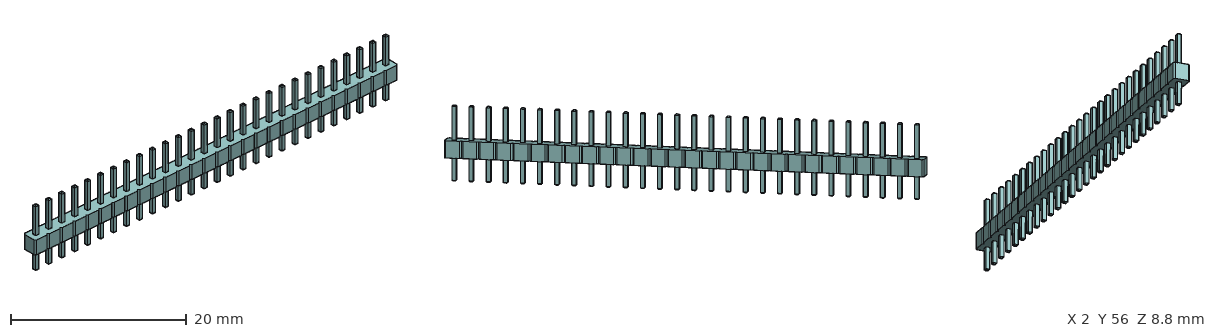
import cadquery as cq

row_length = 56.0
pin_count = 28
pitch = row_length / pin_count

body_width = pitch
body_height = pitch
corner_chamfer = 0.2

pin_width = 0.5
pin_length = 8.8
tail_length = 2.8
tip_chamfer = pin_width / 4

first_pin_y = (pitch - row_length) / 2
pin_rows = [first_pin_y + i * pitch for i in range(pin_count)]


def make_body():
    """Strip with a V-notch on both long sides between neighbouring pins."""
    side_x = body_width / 2
    notch_x = side_x - corner_chamfer
    half_pitch = pitch / 2
    right_side = []
    for pin_y in pin_rows:
        right_side.append((notch_x, pin_y - half_pitch))
        right_side.append((side_x, pin_y - half_pitch + corner_chamfer))
        right_side.append((side_x, pin_y + half_pitch - corner_chamfer))
    right_side.append((notch_x, row_length / 2))
    left_side = [(-x, y) for x, y in reversed(right_side)]
    return cq.Workplane("XY").polyline(right_side + left_side).close().extrude(body_height)


def make_pins():
    """Square pins running through the body, chamfered at both ends."""
    return (
        cq.Workplane("XY")
        .workplane(offset=-tail_length)
        .pushPoints([(0, pin_y) for pin_y in pin_rows])
        .rect(pin_width, pin_width)
        .extrude(pin_length)
        .faces("<Z or >Z")
        .chamfer(tip_chamfer)
    )


result = make_body().union(make_pins())